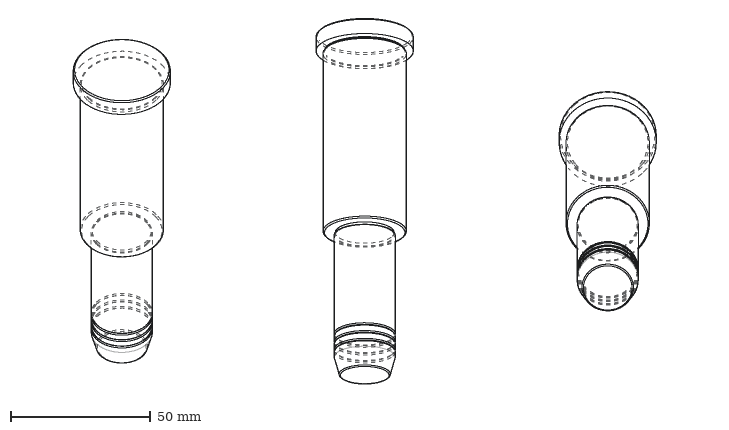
import cadquery as cq
import math

length = 131.0

head_diameter = 35.0
head_height = 6.0
head_chamfer = 0.5

body_diameter = 30.0
body_length = 70.0
body_chamfer = 0.5
neck_length = 0.4

pin_diameter = 22.0
relief_length = 1.0
relief_depth = 0.4

taper_length = 7.0
taper_angle = 15.0
tip_chamfer = 0.4

groove_count = 3
groove_pitch = 3.0
groove_width = 0.9
groove_depth = 0.4
lowest_groove_bottom = 9.0

head_bottom = length - head_height
body_bottom = head_bottom - body_length


def cylinder(diameter, bottom, top):
    """Upright cylinder on the Z axis between two heights."""
    return cq.Workplane("XY").workplane(offset=bottom).circle(diameter / 2).extrude(top - bottom)


def make_head():
    return cylinder(head_diameter, head_bottom, length).faces(">Z").edges().chamfer(head_chamfer)


def make_body():
    """Body chamfered at both ends, with a neck as wide as its chamfered top face."""
    body_top = head_bottom - neck_length
    neck_diameter = body_diameter - 2 * body_chamfer
    body = cylinder(body_diameter, body_bottom, body_top).edges("%CIRCLE").chamfer(body_chamfer)
    return body.union(cylinder(neck_diameter, body_top, head_bottom))


def make_pin():
    """Pin with the conical lead-in and the relief, revolved about the Z axis."""
    radius = pin_diameter / 2
    taper_slope = math.tan(math.radians(taper_angle))
    tip_radius = radius - taper_length * taper_slope
    relief_bottom = body_bottom - relief_length
    profile = [
        (0, 0),
        (tip_radius - tip_chamfer, 0),
        (tip_radius + tip_chamfer * taper_slope, tip_chamfer),
        (radius, taper_length),
        (radius, relief_bottom),
        (radius - relief_depth, relief_bottom),
        (radius - relief_depth, body_bottom),
        (0, body_bottom),
    ]
    return cq.Workplane("XZ").polyline(profile).close().revolve(360, (0, 0), (0, 1))


def make_groove(bottom):
    """Ring with a V section that cuts one groove, upwards from the given height."""
    radius = pin_diameter / 2
    section = [
        (radius, bottom),
        (radius - groove_depth, bottom + groove_width / 2),
        (radius, bottom + groove_width),
    ]
    return cq.Workplane("XZ").polyline(section).close().revolve(360, (0, 0), (0, 1))


result = make_head().union(make_body()).union(make_pin())
for index in range(groove_count):
    result = result.cut(make_groove(lowest_groove_bottom + index * groove_pitch))